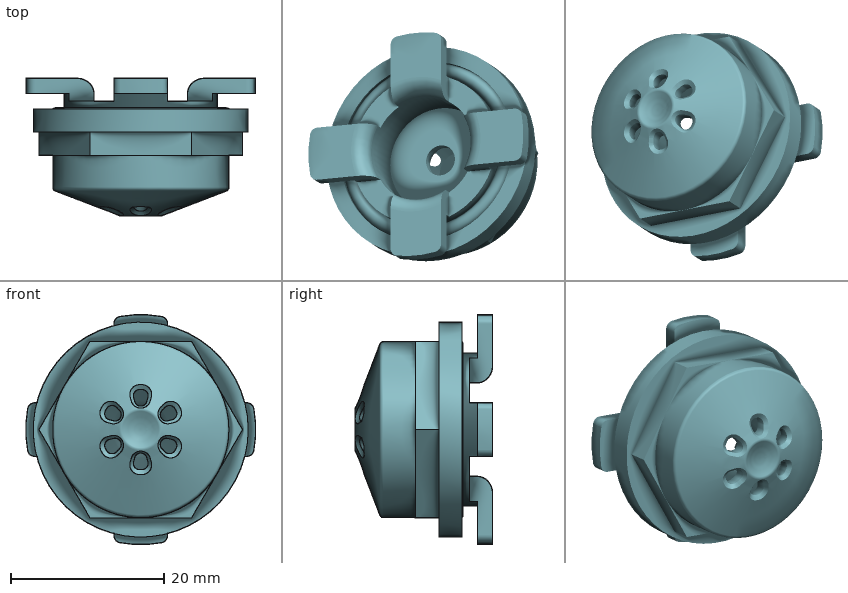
import cadquery as cq
import math

total_depth = 17.95

insert_radius = 9.98
bore_radius = 7.0
bore_depth = 9.0
bore_mouth_rounding = 2.0
tab_reach = 14.98
tab_width = 7.0
tab_thickness = 2.0
tab_corner_radius = 1.0
post_depth = 3.0
dish_angle = math.radians(10)
throat_radius = 2.0
throat_rounding = 2.0

cord_radius = 1.0
o_ring_back = 3.85

body_radius = 11.48
flange_radius = 14.0
face_wall = 2.0
flange_back = 4.0
flange_front = 7.0
hex_front = 10.05
cone_angle = math.radians(21)
shoulder_radius = 0.5
dimple_radius = 5.0
dimple_rim_radius = 2.58
dimple_rim_rounding = 0.5

hole_count = 6
first_hole_turn = 30
hole_distance = 4.15
hole_corner_radius = 0.8
hole_corner_spacing = 0.55
hole_outer_half_width = 0.15
hole_chamfer = 0.55
flare_overshoot = 0.12

half_depth = total_depth / 2
o_ring_radius = insert_radius + cord_radius
o_ring_depth = o_ring_back + cord_radius
groove_radius = insert_radius + 2 * cord_radius
groove_floor = o_ring_back + 2 * cord_radius
hex_corner_diameter = 2 * body_radius / math.cos(math.pi / 6)
rim_center_depth = total_depth - dimple_rim_rounding
cone_tip_radius = dimple_rim_radius + dimple_rim_rounding * math.sin(cone_angle)
cone_tip_depth = rim_center_depth + dimple_rim_rounding * math.cos(cone_angle)


def section_point(radius, depth):
    """A point of a half section in the XY plane."""
    return (radius, half_depth - depth)


def around(center, radius, angle):
    """The section point on a circle, with the angle measured from outward toward the front."""
    center_radius, center_depth = center
    return section_point(
        center_radius + radius * math.cos(angle),
        center_depth + radius * math.sin(angle),
    )


def plane_at(depth):
    """A workplane facing forward, with local x along X and local y along Z."""
    return cq.Workplane("XZ", origin=(0, half_depth - depth, 0))


def revolved(section):
    return section.close().revolve(360, (0, 0), (0, 1))


def cylinder(radius, back, front):
    return plane_at(back).circle(radius).extrude(front - back)


def cone_depth(radius):
    """Depth of the conical spray face at a distance from the axis."""
    return cone_tip_depth - (radius - cone_tip_radius) * math.tan(cone_angle)


insert_front = cone_depth(insert_radius) - face_wall


def tab_pair():
    """Two opposite tabs along X, as one bar with arched ends."""
    bar = plane_at(0).rect(2 * tab_reach, tab_width).extrude(tab_thickness)
    bar = bar.intersect(cylinder(tab_reach, 0, tab_thickness))
    return bar.edges("|Y").fillet(tab_corner_radius)


def post_pair():
    """The parts of the insert wall that carry one pair of tabs."""
    bar = plane_at(0).rect(2 * tab_reach, tab_width).extrude(post_depth)
    return bar.intersect(cylinder(insert_radius, 0, post_depth))


def rounded_bore():
    """The wide bore from the back, with a rounded back edge."""
    rounding_center = (bore_radius + bore_mouth_rounding, bore_mouth_rounding)
    section = (
        cq.Workplane("XY")
        .moveTo(*section_point(0, 0))
        .lineTo(*section_point(rounding_center[0], 0))
        .threePointArc(
            around(rounding_center, bore_mouth_rounding, math.radians(-135)),
            section_point(bore_radius, bore_mouth_rounding),
        )
        .lineTo(*section_point(bore_radius, bore_depth))
        .lineTo(*section_point(0, bore_depth))
    )
    return revolved(section)


def dish_and_throat():
    """The shallow conical front face, rounded into a central throat that opens into the bore."""
    rounding_radius = throat_radius + throat_rounding
    edge_radius = rounding_radius - throat_rounding * math.sin(dish_angle)
    edge_depth = insert_front - (insert_radius - edge_radius) * math.tan(dish_angle)
    rounding_center = (rounding_radius, edge_depth - throat_rounding * math.cos(dish_angle))
    edge_direction = math.pi / 2 + dish_angle
    section = (
        cq.Workplane("XY")
        .moveTo(*section_point(0, insert_front))
        .lineTo(*section_point(insert_radius, insert_front))
        .lineTo(*section_point(edge_radius, edge_depth))
        .threePointArc(
            around(rounding_center, throat_rounding, (edge_direction + math.pi) / 2),
            around(rounding_center, throat_rounding, math.pi),
        )
        .lineTo(*section_point(throat_radius, bore_depth))
        .lineTo(*section_point(0, bore_depth))
    )
    return revolved(section)


def make_insert():
    insert = cylinder(insert_radius, post_depth, insert_front)
    for turn in (0, 90):
        tabs_and_posts = tab_pair().union(post_pair())
        insert = insert.union(tabs_and_posts.rotate((0, 0, 0), (0, 1, 0), turn))
    return insert.cut(rounded_bore()).cut(dish_and_throat())


def make_o_ring():
    section = cq.Workplane("XY").center(*section_point(o_ring_radius, o_ring_depth)).circle(cord_radius)
    return section.revolve(360, (-o_ring_radius, 0), (-o_ring_radius, 1))


def domed_body():
    """The round body with its conical spray face, rounded shoulder and spherical dimple."""
    rim_center = (dimple_rim_radius, rim_center_depth)
    shoulder_center_radius = body_radius - shoulder_radius
    shoulder_center_depth = cone_depth(shoulder_center_radius) - shoulder_radius / math.cos(cone_angle)
    shoulder_center = (shoulder_center_radius, shoulder_center_depth)
    cone_normal = math.pi / 2 - cone_angle

    center_gap = dimple_radius + dimple_rim_rounding
    sphere_direction = math.acos(-dimple_rim_radius / center_gap)
    sphere_center_depth = rim_center_depth + center_gap * math.sin(sphere_direction)
    dimple_floor = sphere_center_depth - dimple_radius
    dimple_edge = around(rim_center, dimple_rim_rounding, sphere_direction)
    half_way = (sphere_direction - math.pi / 2) / 2
    dimple_middle = section_point(
        dimple_radius * math.sin(half_way),
        sphere_center_depth - dimple_radius * math.cos(half_way),
    )

    section = (
        cq.Workplane("XY")
        .moveTo(*section_point(0, flange_back))
        .lineTo(*section_point(body_radius, flange_back))
        .lineTo(*section_point(body_radius, shoulder_center_depth))
        .threePointArc(
            around(shoulder_center, shoulder_radius, cone_normal / 2),
            around(shoulder_center, shoulder_radius, cone_normal),
        )
        .lineTo(*section_point(cone_tip_radius, cone_tip_depth))
        .threePointArc(
            around(rim_center, dimple_rim_rounding, (cone_normal + sphere_direction) / 2),
            dimple_edge,
        )
        .threePointArc(dimple_middle, section_point(0, dimple_floor))
    )
    return revolved(section)


def hole_outline(workplane, corner_spacing):
    """A triangle with three equal rounded corners, its narrow end toward local -x."""
    radius = hole_corner_radius
    outer = corner_spacing / 2
    inner = -corner_spacing / 2
    half_width = hole_outer_half_width
    side_normal = math.pi / 2 + math.atan(half_width / corner_spacing)
    normal_x = radius * math.cos(side_normal)
    normal_y = radius * math.sin(side_normal)
    corner_x = outer + radius * math.cos(side_normal / 2)
    corner_y = half_width + radius * math.sin(side_normal / 2)
    return (
        workplane.moveTo(outer + radius, -half_width)
        .lineTo(outer + radius, half_width)
        .threePointArc((corner_x, corner_y), (outer + normal_x, half_width + normal_y))
        .lineTo(inner + normal_x, normal_y)
        .threePointArc((inner - radius, 0), (inner + normal_x, -normal_y))
        .lineTo(outer + normal_x, -half_width - normal_y)
        .threePointArc((corner_x, -corner_y), (outer + radius, -half_width))
        .close()
    )


def spray_hole():
    """One hole along Y on the +X side, with a flared mouth square to the spray face."""
    start = plane_at(insert_front).center(hole_distance, 0)
    straight = hole_outline(start, hole_corner_spacing).extrude(total_depth - insert_front)

    mouth_depth = cone_depth(hole_distance) - hole_chamfer / math.cos(cone_angle)
    mouth_plane = cq.Plane(
        origin=(hole_distance, half_depth - mouth_depth, 0),
        xDir=(math.cos(cone_angle), math.sin(cone_angle), 0),
        normal=(math.sin(cone_angle), -math.cos(cone_angle), 0),
    )
    mouth_spacing = hole_corner_spacing / math.cos(cone_angle)
    mouth = hole_outline(cq.Workplane(mouth_plane), mouth_spacing)
    flare = mouth.extrude(hole_chamfer + flare_overshoot, taper=-45)
    return straight.union(flare)


def socket():
    """The hollow that takes the insert, with a flat-topped cone parallel to the spray face in front."""
    ceiling = cone_depth(cone_tip_radius) - face_wall
    section = (
        cq.Workplane("XY")
        .moveTo(*section_point(0, flange_back))
        .lineTo(*section_point(insert_radius, flange_back))
        .lineTo(*section_point(insert_radius, insert_front))
        .lineTo(*section_point(cone_tip_radius, ceiling))
        .lineTo(*section_point(0, ceiling))
    )
    return revolved(section)


def make_cap():
    cap = domed_body()
    cap = cap.union(cylinder(flange_radius, flange_back, flange_front))
    hexagon = plane_at(flange_front).polygon(6, hex_corner_diameter)
    cap = cap.union(hexagon.extrude(hex_front - flange_front))
    cap = cap.cut(socket())
    cap = cap.cut(cylinder(groove_radius, flange_back, groove_floor))
    for number in range(hole_count):
        turn = first_hole_turn + number * 360 / hole_count
        cap = cap.cut(spray_hole().rotate((0, 0, 0), (0, 1, 0), turn))
    return cap


cap = make_cap()
o_ring = make_o_ring()
insert = make_insert()

result = cq.Compound.makeCompound([cap.solids().val(), o_ring.val(), insert.solids().val()])